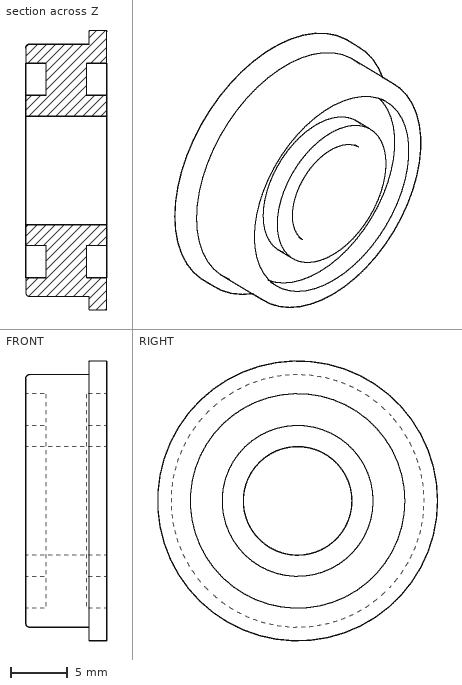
import cadquery as cq

width = 7.142
bore_diameter = 9.525
body_diameter = 22.225
flange_diameter = 24.613
flange_width = 1.575

inner_ring_diameter = 13.26
outer_ring_bore = 18.85
shield_recess = width / 4

body_edge_radius = 0.36
flange_edge_radius = 0.075
bore_edge_radius = 0.05

flange_start = width - flange_width


def ring(outer_diameter, inner_diameter, start, length):
    """Ring around the X axis, from x = start to x = start + length."""
    return (
        cq.Workplane("YZ", origin=(start, 0, 0))
        .circle(outer_diameter / 2)
        .circle(inner_diameter / 2)
        .extrude(length)
    )


def make_body():
    """Plain cylindrical body with a rounded front rim and rounded bore mouths."""
    body = ring(body_diameter, bore_diameter, 0, width)
    body = body.edges(cq.selectors.RadiusNthSelector(0)).fillet(bore_edge_radius)
    front_rim = body.faces("<X").edges(cq.selectors.RadiusNthSelector(-1))
    return front_rim.fillet(body_edge_radius)


def make_flange():
    """Flange at the rear of the body, with both outer edges rounded."""
    flange = ring(flange_diameter, outer_ring_bore, flange_start, flange_width)
    return flange.edges(cq.selectors.RadiusNthSelector(-1)).fillet(flange_edge_radius)


def cut_shield_recesses(part):
    """Sink the annulus between the rings on both end faces."""
    for start in (0, width - shield_recess):
        part = part.cut(ring(outer_ring_bore, inner_ring_diameter, start, shield_recess))
    return part


result = cut_shield_recesses(make_body().union(make_flange()))